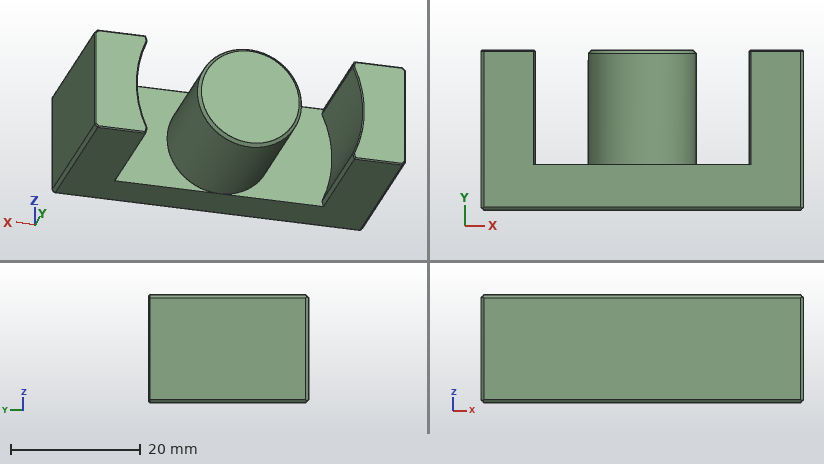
import cadquery as cq
import math

length = 49.8
depth = 24.7
height = 16.7

window_depth = 17.65
bore_radius = 18.1
window_floor = depth - window_depth

post_diameter = height

outer_chamfer = 0.5
tip_chamfer = 0.2
post_chamfer = 0.5
mouth_half_width = 16.75
mouth_flare_height = 0.9
mouth_narrow_half_width = math.sqrt(bore_radius**2 - (height / 2 - mouth_flare_height) ** 2)


def cylinder_along_y(radius, start, span):
    """Cylinder on the Y axis, from y = start to y = start + span."""
    return cq.Workplane("XZ", origin=(0, start, 0)).circle(radius).extrude(-span)


def make_block():
    block = cq.Workplane("XY").box(length, depth, height).translate((0, depth / 2, 0))
    block = block.faces("<Y").chamfer(outer_chamfer)
    return block.edges("|Y").chamfer(outer_chamfer)


def make_mouth(side):
    """Tapered opening at the top (side = 1) or bottom (side = -1) of the bore."""
    face_z = side * height / 2
    inner_z = side * (height / 2 - mouth_flare_height)
    return (
        cq.Workplane("XZ", origin=(0, window_floor, 0))
        .polyline([
            (-mouth_half_width, face_z),
            (mouth_half_width, face_z),
            (mouth_narrow_half_width, inner_z),
            (-mouth_narrow_half_width, inner_z),
        ])
        .close()
        .extrude(-window_depth)
    )


def make_post():
    post = cylinder_along_y(post_diameter / 2, 0, depth)
    post = post.faces(">Y").chamfer(post_chamfer)
    behind_floor = cq.Workplane("XY").box(length, window_floor, height)
    return post.cut(behind_floor.translate((0, window_floor / 2, 0)))


core = make_block().cut(cylinder_along_y(bore_radius, window_floor, window_depth))
for side in (1, -1):
    core = core.cut(make_mouth(side))

core = core.faces(">Y").chamfer(tip_chamfer)
result = core.union(make_post())